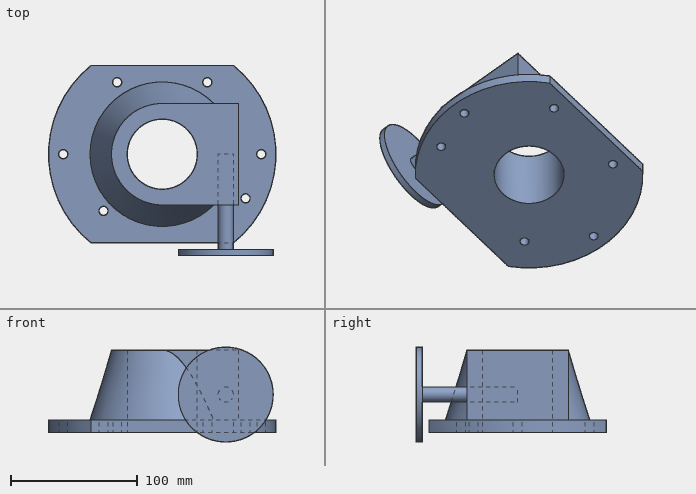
import cadquery as cq

flange_diameter = 179.4
flange_width = 140.0
flange_thickness = 10.0

housing_height = 65.0
hub_base_diameter = 114.0
hub_top_diameter = 80.0
bore_diameter = 55.0

block_length = 60.0

mounting_hole_diameter = 7.0
side_hole_x = 78.0
back_hole_x = 35.5
back_hole_y = 56.7
mounting_hole_centers = [
    (-side_hole_x, 0),
    (side_hole_x, 0),
    (-back_hole_x, back_hole_y),
    (back_hole_x, back_hole_y),
    (-46.3, -44.7),
    (65.7, -34.8),
]

wheel_diameter = 75.0
wheel_thickness = 5.0
wheel_outer_y = -80.0
stem_diameter = 12.0
wheel_axis_x = 50.0
wheel_axis_z = 30.0


def make_flange():
    disc = cq.Workplane("XY").circle(flange_diameter / 2).extrude(flange_thickness)
    between_flats = cq.Workplane("XY").rect(flange_diameter, flange_width).extrude(flange_thickness)
    return disc.intersect(between_flats)


def make_hub():
    return (
        cq.Workplane("XZ")
        .moveTo(0, flange_thickness)
        .lineTo(hub_base_diameter / 2, flange_thickness)
        .lineTo(hub_top_diameter / 2, housing_height)
        .lineTo(0, housing_height)
        .close()
        .revolve(360, (0, 0), (0, 1))
    )


def make_block():
    return (
        cq.Workplane("XY", origin=(0, 0, flange_thickness))
        .rect(block_length, hub_top_diameter, centered=(False, True))
        .extrude(housing_height - flange_thickness)
    )


def make_stem():
    return (
        cq.Workplane("XZ", origin=(wheel_axis_x, 0, wheel_axis_z))
        .circle(stem_diameter / 2)
        .extrude(-wheel_outer_y)
    )


def make_wheel_disc():
    return (
        cq.Workplane("XZ", origin=(wheel_axis_x, wheel_outer_y + wheel_thickness, wheel_axis_z))
        .circle(wheel_diameter / 2)
        .extrude(wheel_thickness)
    )


def make_housing():
    bore = cq.Workplane("XY").circle(bore_diameter / 2).extrude(housing_height)
    mounting_holes = (
        cq.Workplane("XY")
        .pushPoints(mounting_hole_centers)
        .circle(mounting_hole_diameter / 2)
        .extrude(flange_thickness)
    )
    body = make_flange().union(make_hub()).union(make_block())
    stem_socket = make_stem()
    return body.cut(bore).cut(mounting_holes).cut(stem_socket)


def make_handwheel():
    return make_stem().union(make_wheel_disc())


housing = make_housing().solids()
handwheel = make_handwheel().solids()

result = cq.Compound.makeCompound([housing.val(), handwheel.val()])